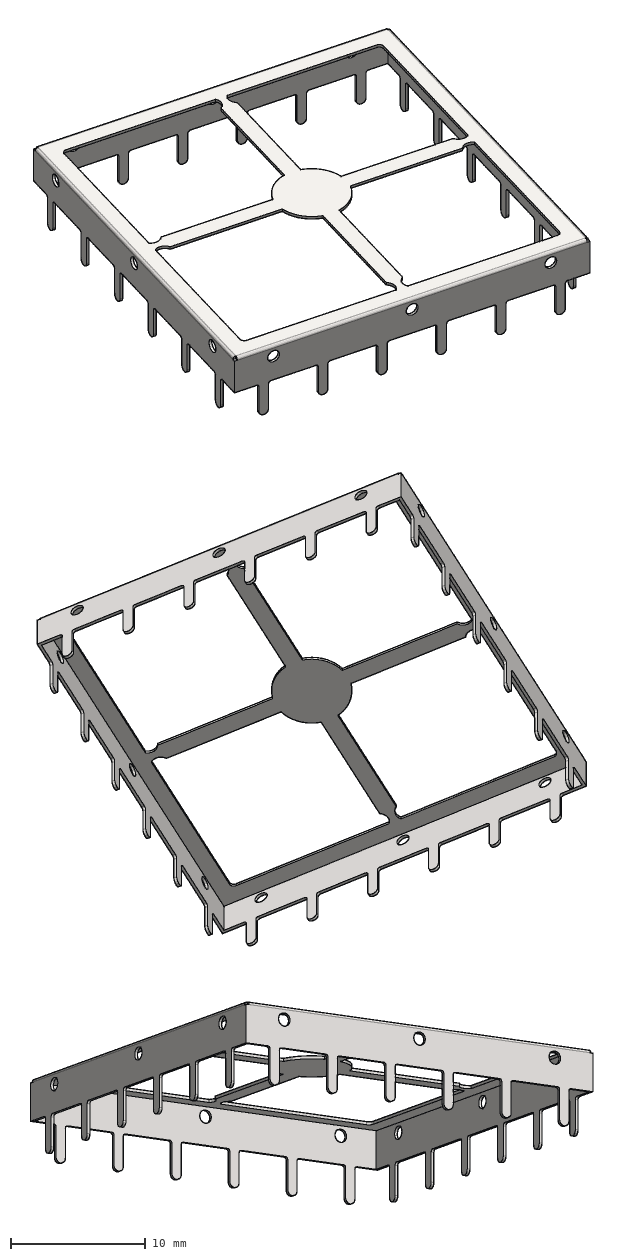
import cadquery as cq

side = 30.4
height = 6.1
sheet = 0.25
bend_radius = 0.25
half_side = side / 2

frame_width = 1.55
opening_corner_radius = 0.35
spoke_width = 1.4
disc_diameter = 6.0

neck_width = 0.65
neck_notch_radius = 0.75
neck_notch_inset = 0.5

wall_height = 3.2
hole_diameter = 1.0
hole_spacing = 11.85
hole_depth = 1.0
pin_count = 6
pin_pitch = 5.08
pin_width = 0.82
pin_root_radius = 0.2


def make_shell():
    """Open-bottomed tray with rounded top edges on all four sides."""
    outer = (
        cq.Workplane("XY")
        .box(side, side, wall_height, centered=(True, True, False))
        .translate((0, 0, -wall_height))
        .faces(">Z")
        .edges()
        .fillet(bend_radius)
    )
    inner_side = side - 2 * sheet
    cavity = (
        cq.Workplane("XY")
        .workplane(offset=-sheet)
        .rect(inner_side, inner_side)
        .extrude(-wall_height)
    )
    return outer.cut(cavity)


def make_opening():
    """Window cutter in the top sheet that leaves the spokes and disc standing."""
    half_opening = half_side - frame_width
    window = (
        cq.Workplane("XY")
        .rect(2 * half_opening, 2 * half_opening)
        .extrude(-sheet)
        .edges("|Z")
        .fillet(opening_corner_radius)
    )
    notch_along = half_opening - neck_notch_inset
    notch_across = neck_width / 2 + neck_notch_radius
    spoke = cq.Workplane("XY").rect(spoke_width, side).extrude(-sheet)
    notches = (
        cq.Workplane("XY")
        .rect(2 * notch_across, 2 * notch_along, forConstruction=True)
        .vertices()
        .circle(neck_notch_radius)
        .extrude(-sheet)
    )
    spoke = spoke.cut(notches)
    disc = cq.Workplane("XY").circle(disc_diameter / 2).extrude(-sheet)
    cross = spoke.union(spoke.rotate((0, 0, 0), (0, 0, 1), 90)).union(disc)
    return window.cut(cross)


def make_pin_row():
    """Pins with rounded tips and filleted roots below the wall on the -Y side."""
    tip_radius = pin_width / 2
    root = pin_width / 2 + pin_root_radius
    straight_top = -wall_height - pin_root_radius
    tip_start = -height + tip_radius
    row = cq.Workplane("XZ")
    for index in range(pin_count):
        x = (index - (pin_count - 1) / 2) * pin_pitch
        row = (
            row.moveTo(x - root, -wall_height)
            .radiusArc((x - tip_radius, straight_top), pin_root_radius)
            .lineTo(x - tip_radius, tip_start)
            .threePointArc((x, -height), (x + tip_radius, tip_start))
            .lineTo(x + tip_radius, straight_top)
            .radiusArc((x + root, -wall_height), pin_root_radius)
            .close()
        )
    return row.extrude(sheet).translate((0, -half_side + sheet, 0))


def make_holes():
    """Three round holes running straight through both walls across Y."""
    return (
        cq.Workplane("XZ")
        .pushPoints([(i * hole_spacing, -hole_depth) for i in (-1, 0, 1)])
        .circle(hole_diameter / 2)
        .extrude(half_side, both=True)
    )


def make_corner_notches():
    """Square reliefs where the bends of adjacent walls would collide."""
    offset = side - sheet
    return (
        cq.Workplane("XY")
        .rect(offset, offset, forConstruction=True)
        .vertices()
        .rect(sheet, sheet)
        .extrude(-bend_radius)
    )


result = make_shell().cut(make_opening()).cut(make_corner_notches())
holes = make_holes()
result = result.cut(holes).cut(holes.rotate((0, 0, 0), (0, 0, 1), 90))
for quarter in range(4):
    result = result.union(make_pin_row().rotate((0, 0, 0), (0, 0, 1), 90 * quarter))